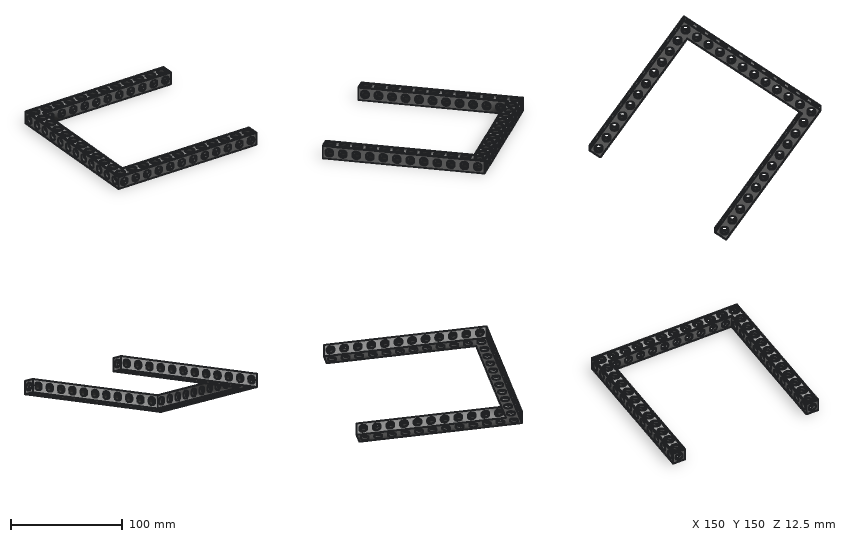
import cadquery as cq

side_length = 150.0
holes_per_side = 12
hole_diameter = 7.0
edge_chamfer = 0.3
mouth_chamfer = 0.3
rim_width = 1.2
recess_depth = 0.2
boss_diameter = 9.2

bar = side_length / holes_per_side
half_side = side_length / 2
half_bar = bar / 2
inner_face = half_side - bar
hole_offsets = [(i + 0.5) * bar - half_side for i in range(holes_per_side)]
first_row = hole_offsets[0]
last_row = hole_offsets[-1]
base_centres = [(x, first_row) for x in hole_offsets]
leg_centres = [(x, y) for x in (first_row, last_row) for y in hole_offsets[1:]]
upright_centres = base_centres + leg_centres


def u_prism(inset, bottom, height):
    """U-shaped prism, open toward +Y, with its outline moved inward by inset."""
    outer = half_side - inset
    inner = inner_face + inset
    outline = [
        (-outer, -outer),
        (outer, -outer),
        (outer, outer),
        (inner, outer),
        (inner, -inner),
        (-inner, -inner),
        (-inner, outer),
        (-outer, outer),
    ]
    return cq.Workplane("XY", origin=(0, 0, bottom)).polyline(outline).close().extrude(height)


def upright_cylinders(diameter, bottom, height):
    """One upright cylinder at every hole position along the three bars."""
    plane = cq.Workplane("XY", origin=(0, 0, bottom))
    return plane.pushPoints(upright_centres).circle(diameter / 2).extrude(height)


def hole_cutter(start, axis, length):
    """Round hole from start along axis, with a chamfered mouth at both ends."""
    start = cq.Vector(*start)
    axis = cq.Vector(*axis)
    radius = hole_diameter / 2
    mouth_radius = radius + mouth_chamfer
    end = start + axis * length
    shaft = cq.Solid.makeCylinder(radius, length, start, axis)
    near_mouth = cq.Solid.makeCone(mouth_radius, radius, mouth_chamfer, start, axis)
    far_mouth = cq.Solid.makeCone(mouth_radius, radius, mouth_chamfer, end, axis * -1)
    return shaft.fuse(near_mouth, far_mouth)


def cut_all(body, cutters):
    """Remove every cutter from the body."""
    return body.cut(cq.Workplane(cq.Compound.makeCompound(cutters)))


def is_inner_corner(edge):
    """True for the two upright edges where the legs meet the base inside the U."""
    centre = edge.Center()
    offset_x = abs(abs(centre.x) - inner_face)
    offset_y = abs(centre.y + inner_face)
    return max(offset_x, offset_y) < edge_chamfer


def chamfered_frame():
    """Solid U frame with every edge chamfered except the two inner corners."""
    frame = u_prism(0, -half_bar, bar)
    return frame.edges().filter(lambda edge: not is_inner_corner(edge)).chamfer(edge_chamfer)


def recessed_frame():
    """Chamfered frame whose recessed top keeps a rim and a boss round each upright hole."""
    floor = half_bar - recess_depth
    recess = u_prism(rim_width, floor, recess_depth)
    recess = recess.cut(upright_cylinders(boss_diameter, floor, recess_depth))
    return chamfered_frame().cut(recess)


upright_holes = [hole_cutter((x, y, -half_bar), (0, 0, 1), bar) for x, y in upright_centres]

y_holes = []
for x in hole_offsets:
    y_length = side_length if x in (first_row, last_row) else bar
    y_holes.append(hole_cutter((x, -half_side, 0), (0, 1, 0), y_length))

x_holes = [hole_cutter((-half_side, first_row, 0), (1, 0, 0), side_length)]
for y in hole_offsets[1:]:
    for leg_start in (-half_side, inner_face):
        x_holes.append(hole_cutter((leg_start, y, 0), (1, 0, 0), bar))

frame = recessed_frame()
frame = cut_all(frame, upright_holes)
frame = cut_all(frame, y_holes)
frame = cut_all(frame, x_holes)

result = frame